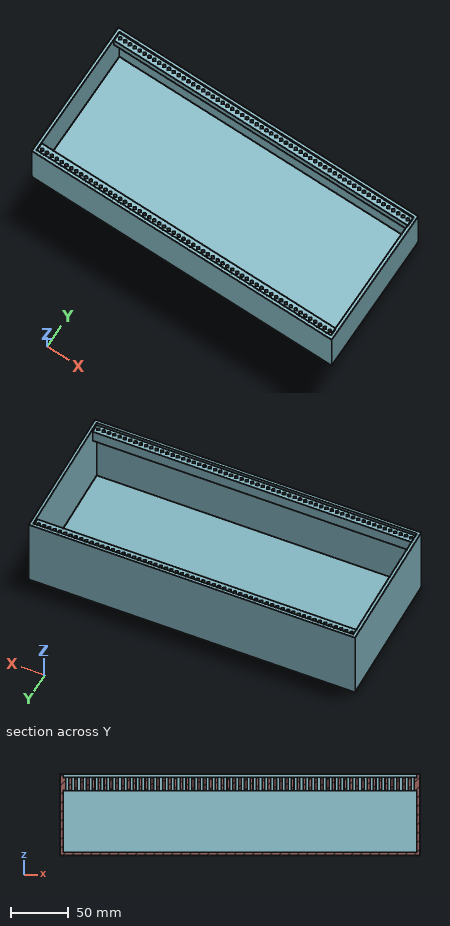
import cadquery as cq

length = 312.5
width = 136.0
height = 71.0
wall = 3.0

rail_width = 8.5
rail_height = 11.5
rail_recess = wall

hole_count = 60
hole_diameter = 2.7
hole_row_span = 299.7
hole_row_spacing = 122.5

inner_length = length - 2 * wall
inner_width = width - 2 * wall
rail_top = height - rail_recess
rail_bottom = rail_top - rail_height
hole_pitch = hole_row_span / (hole_count - 1)


def make_case():
    """Box with equal walls and floor, standing on Z = 0 and open at the top."""
    outside = cq.Workplane("XY").box(length, width, height, centered=(True, True, False))
    cavity = (
        cq.Workplane("XY")
        .workplane(offset=wall)
        .rect(inner_length, inner_width)
        .extrude(height - wall)
    )
    return outside.cut(cavity)


def make_rails():
    """Two rectangular bars reaching from end wall to end wall."""
    rail_offset = (inner_width - rail_width) / 2
    return (
        cq.Workplane("XY")
        .workplane(offset=rail_bottom)
        .pushPoints([(0, -rail_offset), (0, rail_offset)])
        .rect(inner_length, rail_width)
        .extrude(rail_height)
    )


def make_holes():
    """Vertical hole cylinders passing through both rails."""
    return (
        cq.Workplane("XY")
        .workplane(offset=rail_bottom)
        .rarray(hole_pitch, hole_row_spacing, hole_count, 2)
        .circle(hole_diameter / 2)
        .extrude(rail_height)
    )


result = make_case().union(make_rails().cut(make_holes()))